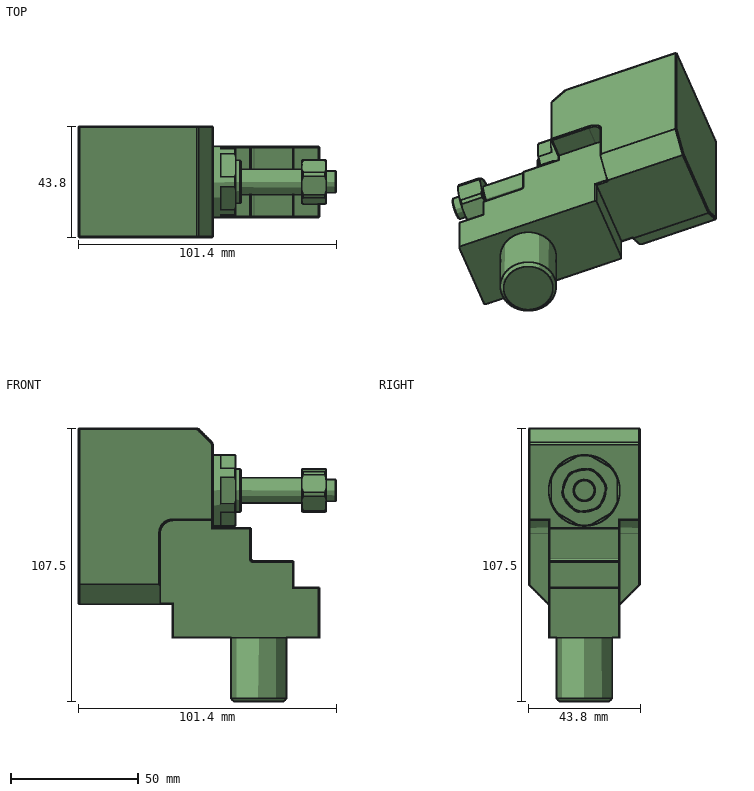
import cadquery as cq
import math

head_length = 53.0
head_width = 43.8
head_top = 82.3
head_bottom = 13.0
head_corner = 6.0
base_width = 28.0
base_rear = 36.9
edge_bevel = 0.5
overlap = 12.0

recess_rear = 32.2
recess_top = 46.0
recess_radius = 5.0

low_step_front, low_step_top = 94.8, 19.8
mid_step_front, mid_step_top = 84.7, 30.1
high_step_front, high_step_top = 67.9, 43.2
step_fillet = 1.0

stud_diameter = 22.0
stud_length = 25.2
stud_chamfer = 1.3
stud_x = 70.9

axis_height = 57.8
collar_diameter = 28.0
collar_end = 61.8
collar_flats_start = 56.0
collar_across_flats = 26.0
collar_chamfer = 0.3
ring_diameter = 17.0
ring_end = 64.0
ring_chamfer = 0.5

rod_diameter = 10.0
hex_start = 87.9
hex_end = 97.4
hex_across_flats = 16.0
hex_corner_diameter = 17.6
hex_end_chamfer = 0.5
hex_turn = -20.0
tip_diameter = 8.6
tip_end = 101.4
tip_chamfer = 0.4


def rod_along_x(diameter, start, end):
    """Cylinder on the working axis between two X positions."""
    plane = cq.Workplane("YZ", origin=(start, 0, axis_height))
    return plane.circle(diameter / 2).extrude(end - start)


def hexagon_along_x(across_flats, start, end, turn):
    """Hexagonal bar on the working axis; at zero turn two flats face +Y and -Y."""
    across_corners = across_flats / math.cos(math.radians(30))
    plane = cq.Workplane("YZ", origin=(start, 0, axis_height)).transformed(rotate=(0, 0, 30 + turn))
    return plane.polygon(6, across_corners).extrude(end - start)


def make_head():
    outline = (
        cq.Workplane("XZ", origin=(0, head_width / 2, 0))
        .moveTo(0, head_bottom)
        .lineTo(0, head_top)
        .lineTo(head_length - head_corner, head_top)
        .lineTo(head_length, head_top - head_corner)
        .lineTo(head_length, recess_top)
        .lineTo(recess_rear + recess_radius, recess_top)
        .radiusArc((recess_rear, recess_top - recess_radius), -recess_radius)
        .lineTo(recess_rear, head_bottom)
        .close()
    )
    head = outline.extrude(head_width)
    head = head.faces("<Z").edges("|X").chamfer((head_width - base_width) / 2)
    side_edges = head.faces("<Y or >Y").edges("not <Z")
    end_edges = head.faces("<X or >X or >Z").edges()
    return side_edges.add(end_edges).chamfer(edge_bevel)


def make_base():
    outline = (
        cq.Workplane("XZ", origin=(0, base_width / 2, 0))
        .moveTo(recess_rear - overlap, head_bottom)
        .lineTo(base_rear, head_bottom)
        .lineTo(base_rear, 0)
        .lineTo(low_step_front, 0)
        .lineTo(low_step_front, low_step_top)
        .lineTo(mid_step_front, low_step_top)
        .lineTo(mid_step_front, mid_step_top)
        .lineTo(high_step_front + step_fillet, mid_step_top)
        .radiusArc((high_step_front, mid_step_top + step_fillet), step_fillet)
        .lineTo(high_step_front, high_step_top)
        .lineTo(head_length, high_step_top)
        .lineTo(head_length, recess_top + overlap)
        .lineTo(recess_rear - overlap, recess_top + overlap)
        .close()
    )
    base = outline.extrude(base_width)
    bevelled = base.faces("<Y or >Y").edges("not <Z")
    steps = [
        (low_step_front, low_step_top),
        (mid_step_front, mid_step_top),
        (high_step_front, high_step_top),
    ]
    for step_front, step_top in steps:
        nose = cq.NearestToPointSelector((step_front, 0, step_top))
        bevelled = bevelled.add(base.edges("|Y").edges(nose))
    return bevelled.chamfer(edge_bevel)


def make_stud():
    stud = cq.Workplane("XY").center(stud_x, 0).circle(stud_diameter / 2).extrude(-stud_length)
    return stud.faces("<Z").chamfer(stud_chamfer)


def make_collar():
    plain_part = rod_along_x(collar_diameter, head_length, collar_flats_start)
    round_end = rod_along_x(collar_diameter, collar_flats_start, collar_end)
    round_end = round_end.faces(">X").chamfer(collar_chamfer)
    hexagon = hexagon_along_x(collar_across_flats, collar_flats_start, collar_end, 0)
    ring = rod_along_x(ring_diameter, collar_end, ring_end).faces(">X").chamfer(ring_chamfer)
    return plain_part.union(round_end.intersect(hexagon)).union(ring)


def make_housing():
    return make_head().union(make_base()).union(make_stud()).union(make_collar())


def make_piston_rod():
    rod = rod_along_x(rod_diameter, ring_end, hex_start)
    rounding = rod_along_x(hex_corner_diameter, hex_start, hex_end).faces("<X or >X").chamfer(hex_end_chamfer)
    hexagon = hexagon_along_x(hex_across_flats, hex_start, hex_end, hex_turn).intersect(rounding)
    tip = rod_along_x(tip_diameter, hex_end, tip_end).faces(">X").chamfer(tip_chamfer)
    return rod.union(hexagon).union(tip)


housing = make_housing()
piston_rod = make_piston_rod()

result = cq.Compound.makeCompound([housing.val(), piston_rod.val()])